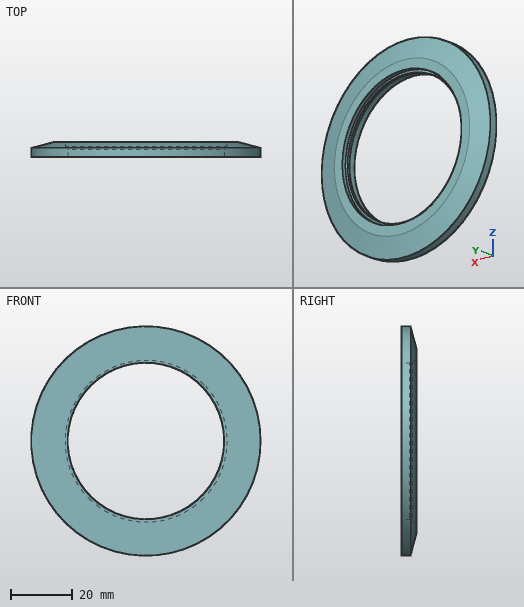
import cadquery as cq
import math

outer_diameter = 75.0
thickness = 5.0
rim_width = 3.0
taper_angle = 15.0

front_bore_diameter = 51.2
front_bore_depth = 2.5
lip_bore_diameter = 51.0
socket_diameter = 52.9
socket_depth = 1.5

front_y = 0.0
back_y = front_y + thickness


def make_flange_body():
    """Solid disc: cylindrical rim, then a conical clamping face down to the back."""
    outer_radius = outer_diameter / 2
    taper_length = thickness - rim_width
    back_radius = outer_radius - taper_length / math.tan(math.radians(taper_angle))
    profile = (
        cq.Workplane("XY")
        .moveTo(0, front_y)
        .lineTo(outer_radius, front_y)
        .lineTo(outer_radius, front_y + rim_width)
        .lineTo(back_radius, back_y)
        .lineTo(0, back_y)
        .close()
    )
    return profile.revolve(360, (0, 0, 0), (0, 1, 0))


def make_bore_step(diameter, start_y, end_y):
    """Cylinder about the Y axis between two Y positions."""
    depth = end_y - start_y
    return cq.Workplane("XZ", origin=(0, start_y, 0)).circle(diameter / 2).extrude(-depth)


result = (
    make_flange_body()
    .cut(make_bore_step(lip_bore_diameter, front_y, back_y))
    .cut(make_bore_step(front_bore_diameter, front_y, front_y + front_bore_depth))
    .cut(make_bore_step(socket_diameter, back_y - socket_depth, back_y))
)